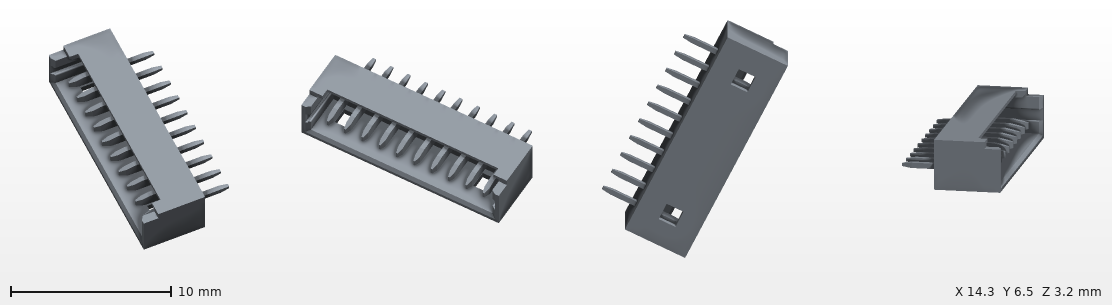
import cadquery as cq


LENGTH = 14.25
HEIGHT = 3.2
DEPTH = 4.2

SIDE_WALL = 0.58
FLOOR = 0.43
CEILING = 2.78
CAVITY_DEPTH = 2.99
CAVITY_HALF_WIDTH = LENGTH / 2 - SIDE_WALL

LEAD_IN_DEPTH = 0.2
RIM_SIDE = 0.28
RIM_FLOOR = 0.23
ROOF_EDGE = 0.23

STEP_DEPTH = 1.0
NOTCH_DEPTH = 1.58
NOTCH_HALF_WIDTH = 6.17

GROOVE_HALF_WIDTH = LENGTH / 2 - RIM_SIDE
GROOVE_BOTTOM = 1.2
GROOVE_TOP = 2.01
BEAD_RADIUS = 0.09
BEAD_INSET = 0.03

PIN_COUNT = 10
PIN_ROW_SPAN = 11.25
PIN_PITCH = PIN_ROW_SPAN / (PIN_COUNT - 1)
PIN_WIDTH = 0.33
PIN_Z = 1.15

BLADE_BOTTOM = 0.77
BLADE_TOP = 1.54
BLADE_TIP_Y = 0.68
BLADE_TIP_BOTTOM = 0.94
BLADE_TIP_TOP = 1.34
BLADE_TIP_WIDTH = 0.11
TOP_SLOPE_LENGTH = 0.98
BOTTOM_SLOPE_LENGTH = 0.64
SIDE_TAPER_LENGTH = 0.43

TAIL_END_Y = 6.5
TAIL_HEIGHT = 0.34
TAIL_TAPER_LENGTH = 0.6
TAIL_TIP_WIDTH = 0.21
TAIL_TIP_HEIGHT = 0.19

WINDOW_WIDTH = 1.13
WINDOW_FRONT = 1.47
WINDOW_LENGTH = 1.17


def block(x_range, y_range, z_range):
    """Box spanning the given (low, high) ranges."""
    sizes = [high - low for low, high in (x_range, y_range, z_range)]
    corner = (x_range[0], y_range[0], z_range[0])
    return cq.Workplane("XY").box(*sizes, centered=False).translate(corner)


def symmetric(half_width):
    return (-half_width, half_width)


def extrude_along_x(profile, half_width):
    """Extrude a (Y, Z) outline to both sides of X = 0."""
    return cq.Workplane("YZ").polyline(profile).close().extrude(half_width, both=True)


def upright_rectangle(half_width, y, z_range):
    """Rectangular wire in the plane at the given Y."""
    bottom, top = z_range
    corners = [
        cq.Vector(-half_width, y, bottom),
        cq.Vector(half_width, y, bottom),
        cq.Vector(half_width, y, top),
        cq.Vector(-half_width, y, top),
    ]
    return cq.Wire.makePolygon(corners, close=True)


def mouth_lead_in():
    """Funnel that widens the cavity sides and floor towards the front face."""
    outer = upright_rectangle(GROOVE_HALF_WIDTH, 0, (RIM_FLOOR, CEILING))
    inner = upright_rectangle(CAVITY_HALF_WIDTH, LEAD_IN_DEPTH, (FLOOR, CEILING))
    return cq.Workplane(cq.Solid.makeLoft([outer, inner], True))


def roof_lead_in(front_y, half_width):
    """Chamfer under the roof edge that stands at front_y."""
    profile = [
        (front_y, CEILING),
        (front_y, HEIGHT - ROOF_EDGE),
        (front_y + LEAD_IN_DEPTH, CEILING),
    ]
    return extrude_along_x(profile, half_width)


def lip_beads():
    """Rounded beads along the upper and lower lips of both side grooves."""
    bead_x = CAVITY_HALF_WIDTH + BEAD_RADIUS
    points = [
        (side * bead_x, z)
        for side in (-1, 1)
        for z in (GROOVE_BOTTOM - BEAD_INSET, GROOVE_TOP + BEAD_INSET)
    ]
    return cq.Workplane("XZ").pushPoints(points).circle(BEAD_RADIUS).extrude(-CAVITY_DEPTH)


def make_housing():
    cavity_y = (0, CAVITY_DEPTH)
    body = block(symmetric(LENGTH / 2), (0, DEPTH), (0, HEIGHT))
    body = body.cut(block(symmetric(CAVITY_HALF_WIDTH), cavity_y, (FLOOR, CEILING)))
    body = body.cut(block(symmetric(GROOVE_HALF_WIDTH), cavity_y, (GROOVE_BOTTOM, GROOVE_TOP)))
    relief_half_width = CAVITY_HALF_WIDTH + BEAD_RADIUS
    relief_z = (GROOVE_BOTTOM - BEAD_INSET, GROOVE_TOP + BEAD_INSET)
    body = body.cut(block(symmetric(relief_half_width), cavity_y, relief_z))
    body = body.union(lip_beads())
    body = body.cut(mouth_lead_in())

    body = body.cut(block(symmetric(LENGTH / 2), (0, STEP_DEPTH), (CEILING, HEIGHT)))
    body = body.cut(block(symmetric(NOTCH_HALF_WIDTH), (0, NOTCH_DEPTH), (CEILING, HEIGHT)))
    body = body.cut(roof_lead_in(STEP_DEPTH, CAVITY_HALF_WIDTH))
    body = body.cut(roof_lead_in(NOTCH_DEPTH, NOTCH_HALF_WIDTH))

    window_x = PIN_PITCH * (PIN_COUNT - 2) / 2
    window_y = (WINDOW_FRONT, WINDOW_FRONT + WINDOW_LENGTH)
    for centre in (-window_x, window_x):
        window_range = (centre - WINDOW_WIDTH / 2, centre + WINDOW_WIDTH / 2)
        body = body.cut(block(window_range, window_y, (0, FLOOR)))
    return body


def make_blade():
    """Mating end: sloped above and below in side profile, tapered in plan."""
    profile = [
        (CAVITY_DEPTH, BLADE_BOTTOM),
        (BLADE_TIP_Y + BOTTOM_SLOPE_LENGTH, BLADE_BOTTOM),
        (BLADE_TIP_Y, BLADE_TIP_BOTTOM),
        (BLADE_TIP_Y, BLADE_TIP_TOP),
        (BLADE_TIP_Y + TOP_SLOPE_LENGTH, BLADE_TOP),
        (CAVITY_DEPTH, BLADE_TOP),
    ]
    shoulder_y = BLADE_TIP_Y + SIDE_TAPER_LENGTH
    plan = [
        (-PIN_WIDTH / 2, CAVITY_DEPTH),
        (-PIN_WIDTH / 2, shoulder_y),
        (-BLADE_TIP_WIDTH / 2, BLADE_TIP_Y),
        (BLADE_TIP_WIDTH / 2, BLADE_TIP_Y),
        (PIN_WIDTH / 2, shoulder_y),
        (PIN_WIDTH / 2, CAVITY_DEPTH),
    ]
    plan_prism = cq.Workplane("XY").polyline(plan).close().extrude(HEIGHT)
    return extrude_along_x(profile, PIN_WIDTH / 2).intersect(plan_prism)


def make_tail():
    """Solder end: straight shank from the back wall, then a tapered point."""
    taper_y = TAIL_END_Y - TAIL_TAPER_LENGTH
    shank_z = (PIN_Z - TAIL_HEIGHT / 2, PIN_Z + TAIL_HEIGHT / 2)
    shank = block(symmetric(PIN_WIDTH / 2), (CAVITY_DEPTH, taper_y), shank_z)
    point = (
        cq.Workplane("XZ", origin=(0, taper_y, PIN_Z))
        .rect(PIN_WIDTH, TAIL_HEIGHT)
        .workplane(offset=-TAIL_TAPER_LENGTH)
        .rect(TAIL_TIP_WIDTH, TAIL_TIP_HEIGHT)
        .loft(ruled=True)
    )
    return shank.union(point)


result = make_housing()
pin = make_blade().union(make_tail())
for index in range(PIN_COUNT):
    pin_x = (index - (PIN_COUNT - 1) / 2) * PIN_PITCH
    result = result.union(pin.translate((pin_x, 0, 0)))